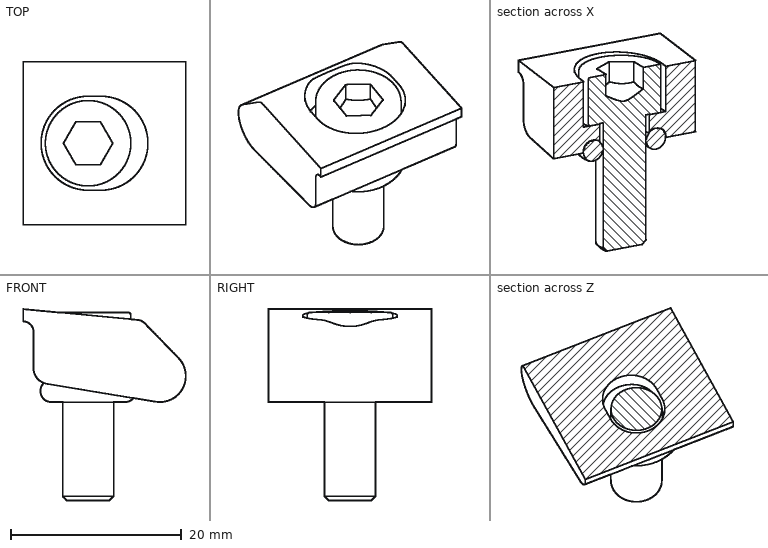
import cadquery as cq
import math


SHANK_DIA = 6.0
SHANK_LENGTH = 16.0
SHANK_CHAMFER = 0.5
HEAD_DIA = 10.0
HEAD_HEIGHT = 6.0
HEAD_EDGE_RADIUS = 0.3
HEX_ACROSS_FLATS = 5.0
HEX_DEPTH = 2.5
HEX_FLOOR_CONE_ANGLE = 120.0

RING_CORD_RADIUS = 1.3
RING_MID_RADIUS = SHANK_DIA / 2 + RING_CORD_RADIUS
RING_Z = -3.2

CLAMP_LENGTH = 19.04
CLAMP_WIDTH = 19.1
CLAMP_TOP = 6.4
CLAMP_BOTTOM = RING_Z - RING_CORD_RADIUS
BACK_X = -7.6
TOP_SLOPE = 5.4
BOTTOM_SLOPE = 9.4
RAMP_SLOPE = 45.8
NOSE_RADIUS = 3.05
LIP_THICKNESS = 1.46
LIP_OVERHANG = 1.2
BROW_RADIUS = 1.3
HEEL_RADIUS = 1.85

SLOT_TRAVEL = 1.5
HEAD_CLEARANCE = 0.5
SHANK_CLEARANCE = 0.3
HEAD_SLOT_WIDTH = HEAD_DIA + 2 * HEAD_CLEARANCE
SHANK_SLOT_WIDTH = SHANK_DIA + 2 * SHANK_CLEARANCE


def make_screw():
    """Cap screw with a hexagon socket that ends in a drill-point cone."""
    head = cq.Workplane("XY").circle(HEAD_DIA / 2).extrude(HEAD_HEIGHT)
    head = head.faces(">Z").edges().fillet(HEAD_EDGE_RADIUS)
    shank = cq.Workplane("XY").circle(SHANK_DIA / 2).extrude(-SHANK_LENGTH)
    shank = shank.faces("<Z").edges().chamfer(SHANK_CHAMFER)

    across_corners = HEX_ACROSS_FLATS / math.cos(math.radians(30))
    cone_radius = across_corners / 2
    cone_depth = cone_radius / math.tan(math.radians(HEX_FLOOR_CONE_ANGLE / 2))
    hexagon = (
        cq.Workplane("XY", origin=(0, 0, HEAD_HEIGHT))
        .polygon(6, across_corners)
        .extrude(-HEX_DEPTH - cone_depth)
    )
    cone_top = HEAD_HEIGHT - HEX_DEPTH
    envelope = (
        cq.Workplane("XZ")
        .moveTo(0, cone_top - cone_depth)
        .lineTo(cone_radius, cone_top)
        .lineTo(HEAD_DIA / 2, cone_top)
        .lineTo(HEAD_DIA / 2, HEAD_HEIGHT)
        .lineTo(0, HEAD_HEIGHT)
        .close()
        .revolve(360, (0, 0, 0), (0, 1, 0))
    )
    return head.union(shank).cut(hexagon.intersect(envelope))


def make_ring():
    """O-ring that hugs the shank, level with the lowest part of the clamp."""
    center = cq.Vector(0, 0, RING_Z)
    return cq.Workplane(cq.Solid.makeTorus(RING_MID_RADIUS, RING_CORD_RADIUS, center))


def make_clamp_block():
    """Wedge-shaped block with a back lip, a ramp and a round nose."""
    nose_x = BACK_X + CLAMP_LENGTH - NOSE_RADIUS
    nose_z = CLAMP_BOTTOM + NOSE_RADIUS

    def nose_point(angle):
        a = math.radians(angle)
        return nose_x + NOSE_RADIUS * math.cos(a), nose_z + NOSE_RADIUS * math.sin(a)

    nose_start = nose_point(90 - RAMP_SLOPE)
    nose_middle = nose_point(0)
    nose_end = nose_point(-90 - BOTTOM_SLOPE)

    top_fall = math.tan(math.radians(TOP_SLOPE))
    ramp_fall = math.tan(math.radians(RAMP_SLOPE))
    bottom_fall = math.tan(math.radians(BOTTOM_SLOPE))

    ramp_height_at_back = nose_start[1] + ramp_fall * (nose_start[0] - BACK_X)
    brow_x = BACK_X + (ramp_height_at_back - CLAMP_TOP) / (ramp_fall - top_fall)
    brow_z = CLAMP_TOP - top_fall * (brow_x - BACK_X)

    wall_x = BACK_X + LIP_OVERHANG
    heel_z = nose_end[1] + bottom_fall * (nose_end[0] - wall_x)

    lip_z = CLAMP_TOP - LIP_THICKNESS
    cove_middle = (
        BACK_X + LIP_OVERHANG * math.cos(math.radians(45)),
        lip_z - LIP_OVERHANG * (1 - math.sin(math.radians(45))),
    )
    block = (
        cq.Workplane("XZ")
        .moveTo(BACK_X, CLAMP_TOP)
        .lineTo(brow_x, brow_z)
        .lineTo(*nose_start)
        .threePointArc(nose_middle, nose_end)
        .lineTo(wall_x, heel_z)
        .lineTo(wall_x, lip_z - LIP_OVERHANG)
        .threePointArc(cove_middle, (BACK_X, lip_z))
        .close()
        .extrude(CLAMP_WIDTH / 2, both=True)
    )
    block = block.edges(cq.NearestToPointSelector((brow_x, 0, brow_z))).fillet(BROW_RADIUS)
    return block.edges(cq.NearestToPointSelector((wall_x, 0, heel_z))).fillet(HEEL_RADIUS)


def make_slot(width, bottom, top):
    """Upright slot, round about the screw axis at its back end."""
    return (
        cq.Workplane("XY", origin=(SLOT_TRAVEL / 2, 0, bottom))
        .slot2D(width + SLOT_TRAVEL, width)
        .extrude(top - bottom)
    )


def make_clamp(ring):
    """Clamp block with the screw slots and a seat shaped to the O-ring."""
    clamp = make_clamp_block()
    clamp = clamp.cut(make_slot(HEAD_SLOT_WIDTH, 0, CLAMP_TOP))
    clamp = clamp.cut(make_slot(SHANK_SLOT_WIDTH, CLAMP_BOTTOM, 0))
    return clamp.cut(ring)


screw = make_screw()
o_ring = make_ring()
clamp = make_clamp(o_ring)

bodies = [clamp, screw, o_ring]
result = cq.Compound.makeCompound([body.solids().val() for body in bodies])